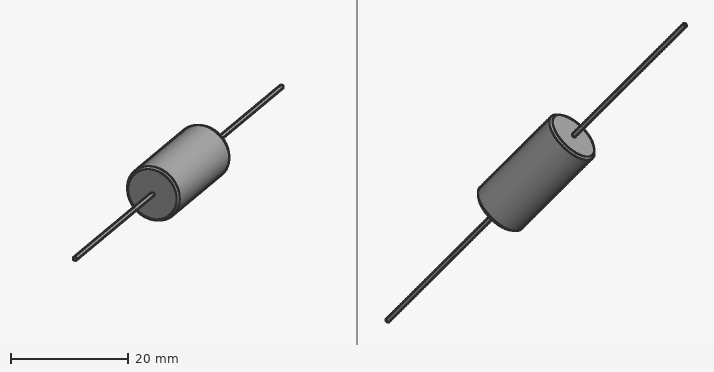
import cadquery as cq

overall_length = 80.0
body_length = 20.0
body_diameter = 10.0
lead_diameter = 0.7
end_chamfer = 0.4


def centred_rod(diameter, length):
    """Round rod along Y, centred on the origin."""
    return cq.Workplane("XZ", origin=(0, -length / 2, 0)).circle(diameter / 2).extrude(-length)


body = centred_rod(body_diameter, body_length).faces("<Y or >Y").edges().chamfer(end_chamfer)

leads = centred_rod(lead_diameter, overall_length)

result = body.union(leads)